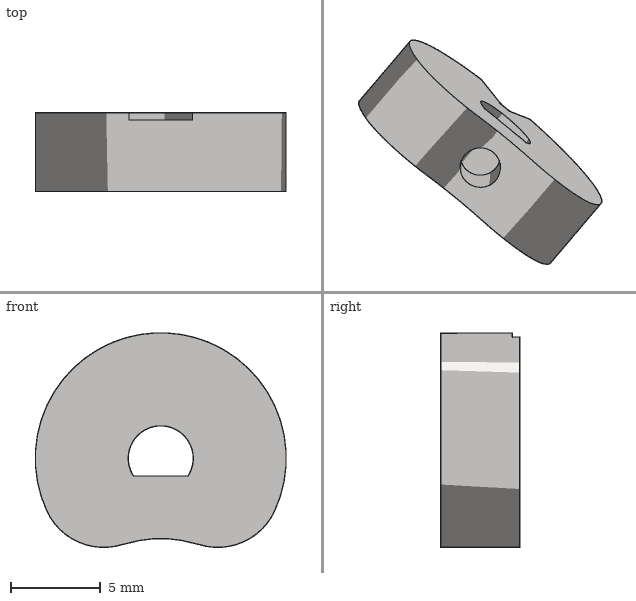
import cadquery as cq
import math

body_radius = 7.0
thickness = 4.4
lobe_radius = 3.5
lowest_z = -4.97
hollow_radius = 7.0

bore_radius = 1.8
bore_flat_z = -0.98

screw_hole_radius = 1.12

notch_depth = 0.42
notch_half_width = 1.76
notch_half_angle = 30.0
notch_tip_radius = 0.53


def point_from(center, toward, distance):
    """Point at a given distance from center, in the direction of another point."""
    dx = toward[0] - center[0]
    dz = toward[1] - center[1]
    length = math.hypot(dx, dz)
    return (center[0] + distance * dx / length, center[1] + distance * dz / length)


def mirrored(point):
    return (-point[0], point[1])


def extrude_back(outline, depth):
    """The XZ workplane faces -Y, so a negative length extrudes toward +Y."""
    return outline.extrude(-depth)


def make_body():
    """Disc blended into two lower lobes with a concave hollow between them."""
    lobe_z = lowest_z + lobe_radius
    lobe_x = math.sqrt((body_radius - lobe_radius) ** 2 - lobe_z ** 2)
    lobe_center = (lobe_x, lobe_z)
    hollow_reach = math.sqrt((lobe_radius + hollow_radius) ** 2 - lobe_x ** 2)
    hollow_center = (0, lobe_z - hollow_reach)

    side = point_from((0, 0), lobe_center, body_radius)
    foot = point_from(lobe_center, hollow_center, lobe_radius)
    lobe_bottom = (lobe_x, lowest_z)
    hollow_crest = (0, hollow_center[1] + hollow_radius)

    outline = (
        cq.Workplane("XZ")
        .moveTo(*mirrored(side))
        .threePointArc((0, body_radius), side)
        .threePointArc(lobe_bottom, foot)
        .threePointArc(hollow_crest, mirrored(foot))
        .threePointArc(mirrored(lobe_bottom), mirrored(side))
        .close()
    )
    return extrude_back(outline, thickness)


def make_bore():
    """D-shaped through bore with the flat at the bottom."""
    flat_half_width = math.sqrt(bore_radius ** 2 - bore_flat_z ** 2)
    outline = (
        cq.Workplane("XZ")
        .moveTo(-flat_half_width, bore_flat_z)
        .threePointArc((0, bore_radius), (flat_half_width, bore_flat_z))
        .close()
    )
    return extrude_back(outline, thickness)


def make_screw_hole():
    """Radial hole from the bore axis down through the hollow."""
    return (
        cq.Workplane("XY")
        .center(0, thickness / 2)
        .circle(screw_hole_radius)
        .extrude(-body_radius)
    )


def make_notch():
    """Round-tipped V notch in the back face, open at the rim."""
    angle = math.radians(notch_half_angle)
    rim_z = math.sqrt(body_radius ** 2 - notch_half_width ** 2)
    apex_z = rim_z - notch_half_width / math.tan(angle)
    tip_center_z = apex_z + notch_tip_radius / math.sin(angle)
    tangent = (
        notch_tip_radius * math.cos(angle),
        tip_center_z - notch_tip_radius * math.sin(angle),
    )
    rim = (notch_half_width, rim_z)
    outline = (
        cq.Workplane("XZ", origin=(0, thickness - notch_depth, 0))
        .moveTo(*rim)
        .lineTo(*tangent)
        .threePointArc((0, tip_center_z - notch_tip_radius), mirrored(tangent))
        .lineTo(*mirrored(rim))
        .threePointArc((0, body_radius), rim)
        .close()
    )
    return extrude_back(outline, notch_depth)


result = make_body().cut(make_bore()).cut(make_screw_hole()).cut(make_notch())